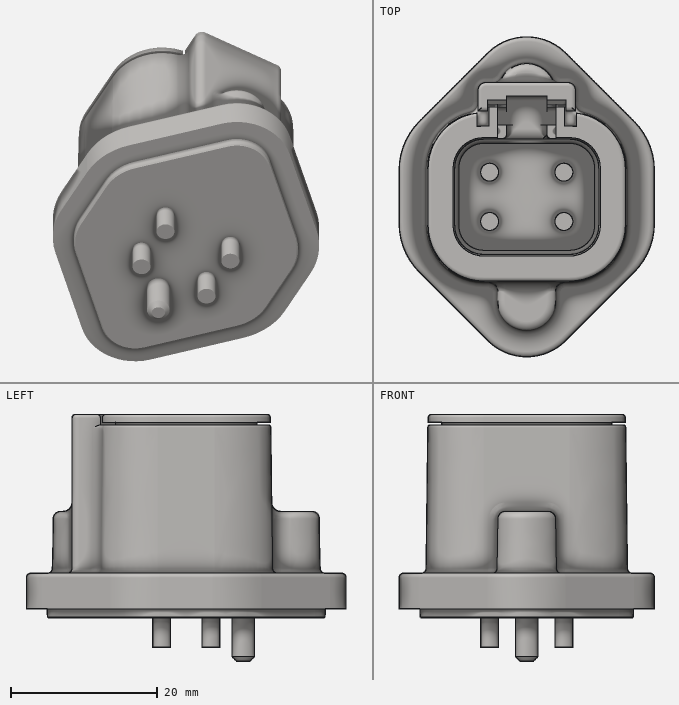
import cadquery as cq
import math

flange_top = 4.9
shoulder_top = 25.1
rim_bottom = 25.45
housing_top = 26.55
boss_top = 13.32
plate_depth = 1.25
pin_depth = 5.25
peg_depth = 7.15

flange_half_x = 17.45
flange_half_y = 21.85
flange_side_radius = 9.5
flange_end_radius = 7.5
flange_edge_fillet = 0.65
plate_inset = 2.85
plate_taper = 2.0
plate_edge_chamfer = 0.17

corner_x = 5.85
corner_y = 3.9
housing_radius = 7.9
housing_taper = 0.7
rim_radius = 7.6
groove_radius = 5.75
cavity_floor = flange_top
cavity_ledge = 8.75
cavity_radius = 3.97
ledge_width = 0.55
ledge_fillet = 0.52
cavity_mouth_radius = 4.2
lead_in_depth = 0.8
lead_in_widening = 0.15
rim_fillet = 0.5
shoulder_fillet = 0.4
base_fillet = 0.6

boss_center_y = 14.25
boss_radius = 4.05
boss_taper = 1.0
boss_fillet = 1.05
join_fillet = 1.2
tower_join_fillet = 1.4

tower_half_x = 6.65
tower_back = 15.6
tower_corner = 1.05
tower_front = 11.7
tower_edge_fillet = 0.52
notch_half_x = 6.75
notch_front = 9.65

pocket_floor = 13.55
pocket_half_x = 3.97
pocket_front = 9.83
pocket_back = 12.27
pocket_foot_fillet = 0.65
slot_half_x = 2.75
slot_back = 13.75
slot_lip_radius = 1.3
slot_lip_end = 9.17
slot_side_fillet = 0.8
rib_top = 24.0
rib_corner_fillet = 0.6
window_half_x = 5.35
window_floor = 19.52
undercut_top = 23.35
tongue_half_x = 5.15
catch_bottom = 24.2
catch_front = 12.55
catch_top_front = 13.25
catch_chamfer_bottom = 25.55

pin_diameter = 2.45
pin_x = 5.05
pin_y = 3.35
pin_top = 10.9
peg_diameter = 3.1
peg_y = -7.78
peg_chamfer = 0.65

selection_margin = 0.05


def box_selector(x_range, y_range, z_range):
    """Selector for edges or vertices whose centres lie within the given ranges."""
    return cq.selectors.BoxSelector(*zip(x_range, y_range, z_range))


def around(value):
    """Narrow selection range around a coordinate."""
    return (value - selection_margin, value + selection_margin)


def inner_edges(body, height):
    """Edges around the inner outlines of the horizontal faces at the given height."""
    faces = [face for face in body.faces("|Z").vals() if abs(face.Center().z - height) < selection_margin]
    return body.newObject([edge for face in faces for wire in face.innerWires() for edge in wire.Edges()])


def centered_block(half_x, y_min, y_max, z_min, z_max):
    """Box symmetric about X = 0, given by its limits."""
    box = cq.Workplane("XY").box(2 * half_x, y_max - y_min, z_max - z_min, centered=(True, False, False))
    return box.translate((0, y_min, z_min))


def rounded_prism(radius, z_min, z_max, taper=0.0):
    """Rounded rectangle around the shared corner centres, extruded upwards."""
    outline = cq.Sketch().rect(2 * (corner_x + radius), 2 * (corner_y + radius)).vertices().fillet(radius)
    return cq.Workplane("XY").workplane(offset=z_min).placeSketch(outline).extrude(z_max - z_min, taper=taper)


def hexagon_outline(inset):
    """Flange hexagon with 45 degree sides and rounded corners, moved inwards by inset."""
    end_radius = flange_end_radius - inset
    half_x = flange_half_x - inset
    end_center_y = flange_half_y - flange_end_radius
    apex_y = end_center_y + end_radius * math.sqrt(2)
    side_y = apex_y - half_x
    points = [
        (0, apex_y),
        (half_x, side_y),
        (half_x, -side_y),
        (0, -apex_y),
        (-half_x, -side_y),
        (-half_x, side_y),
    ]
    end_corners = ">Y or <Y"
    side_corners = ">X or <X"
    sketch = cq.Sketch().polygon(points + points[:1])
    sketch = sketch.vertices(end_corners).fillet(end_radius).reset()
    return sketch.vertices(side_corners).fillet(flange_side_radius - inset)


def make_flange():
    """Mounting flange with a smaller plate below it."""
    flange = cq.Workplane("XY").placeSketch(hexagon_outline(0)).extrude(flange_top)
    flange = flange.faces(">Z").edges().fillet(flange_edge_fillet)
    plate = cq.Workplane("XY").placeSketch(hexagon_outline(plate_inset)).extrude(-plate_depth, taper=plate_taper)
    plate = plate.faces("<Z").chamfer(plate_edge_chamfer)
    return flange.union(plate)


def make_housing():
    """Drafted housing with the latch tower blended into its +Y side."""
    housing = rounded_prism(housing_radius, flange_top, shoulder_top, housing_taper)
    tower = centered_block(tower_half_x, 0, tower_back, flange_top, shoulder_top)
    tower = tower.edges("|Z and >Y").fillet(tower_corner)
    seam_y = (tower_front - 0.45, tower_front + 0.45)
    seam_z = (flange_top + 0.45, shoulder_top - 0.45)
    seams = box_selector(around(-tower_half_x), seam_y, seam_z)
    seams += box_selector(around(tower_half_x), seam_y, seam_z)
    return housing.union(tower).edges(seams).fillet(tower_join_fillet)


def add_bosses(housing):
    """Rounded bosses on both ends, one long slot shape passing through the housing."""
    bosses = (
        cq.Workplane("XY").workplane(offset=flange_top)
        .slot2D(2 * (boss_center_y + boss_radius), 2 * boss_radius, 90)
        .extrude(boss_top - flange_top, taper=boss_taper)
        .faces(">Z").edges().fillet(boss_fillet)
    )
    body = housing.union(bosses)
    housing_end = -corner_y - housing_radius
    seam_x = (-boss_radius, boss_radius)
    seam_z = (flange_top + 0.45, boss_top + 0.45)
    front_seam = box_selector(seam_x, (housing_end - 0.45, housing_end + 0.45), seam_z)
    back_seam = box_selector(seam_x, around(tower_back), seam_z)
    return body.edges(front_seam).fillet(join_fillet).edges(back_seam).fillet(join_fillet)


def make_lower_body():
    """Flange, housing, tower and bosses, all blended together, up to the shoulder."""
    body = make_flange().union(add_bosses(make_housing()))
    body = inner_edges(body, flange_top).fillet(base_fillet)
    reach_x = corner_x + housing_radius
    reach_y = corner_y + housing_radius
    shoulder = box_selector((-reach_x, reach_x), (-reach_y, notch_front), around(shoulder_top))
    return body.faces(">Z").edges(shoulder).fillet(shoulder_fillet)


def make_rim():
    """Rim above the seal groove, cut away where the tower stands."""
    rim = rounded_prism(rim_radius, rim_bottom, housing_top)
    rim = rim.faces(">Z").edges().fillet(rim_fillet)
    neck = rounded_prism(groove_radius, shoulder_top, rim_bottom)
    gap = centered_block(notch_half_x, notch_front, tower_back, shoulder_top, housing_top)
    return rim.union(neck).cut(gap)


def make_tower_top():
    """Upper end of the tower with rounded top edges, and the tongues between its arms."""
    top = centered_block(tower_half_x, tower_front, tower_back, shoulder_top - 0.45, housing_top)
    top = top.edges("|Z and >Y").fillet(tower_corner)
    top = top.faces(">Z").edges().fillet(tower_edge_fillet)
    arm_gap = centered_block(window_half_x, notch_front, pocket_back, shoulder_top, housing_top)
    tongues = centered_block(tongue_half_x, corner_y, pocket_back, shoulder_top, housing_top)
    return top.cut(arm_gap).union(tongues)


def taper_angle(widening, height):
    """Negative extrusion taper that widens an outline by the given amount per side."""
    return -math.degrees(math.atan(widening / height))


def make_cavity():
    """Drafted cavity with a lead-in at its mouth and a rounded ledge around its floor recess."""
    recess_radius = cavity_radius - ledge_width
    recess = rounded_prism(recess_radius, cavity_floor, cavity_ledge)

    lead_in_bottom = housing_top - lead_in_depth
    lead_in_radius = cavity_mouth_radius - lead_in_widening
    wall_taper = taper_angle(lead_in_radius - cavity_radius, lead_in_bottom - cavity_ledge)
    walls = rounded_prism(cavity_radius, cavity_ledge, lead_in_bottom, wall_taper)
    lead_in_taper = taper_angle(lead_in_widening, lead_in_depth)
    lead_in = rounded_prism(lead_in_radius, lead_in_bottom, housing_top, lead_in_taper)

    cavity = recess.union(walls)
    return inner_edges(cavity, cavity_ledge).fillet(ledge_fillet).union(lead_in)


def side_profile(points, half_x):
    """Closed (Y, Z) polygon extruded symmetrically about X = 0."""
    return cq.Workplane("YZ").polyline(points).close().extrude(half_x, both=True)


def make_latch_pocket():
    """Cutters that together hollow out the latch tower."""
    lip_start = slot_lip_end - slot_lip_radius
    lip_mid = slot_lip_radius * math.sqrt(0.5)
    slot = (
        cq.Workplane("YZ")
        .moveTo(lip_start, housing_top)
        .lineTo(lip_start, pocket_floor - slot_lip_radius)
        .threePointArc(
            (slot_lip_end - lip_mid, pocket_floor - slot_lip_radius + lip_mid),
            (slot_lip_end, pocket_floor),
        )
        .lineTo(pocket_front, pocket_floor)
        .lineTo(pocket_front, housing_top)
        .close()
        .extrude(slot_half_x, both=True)
    )
    floor_sides = box_selector(
        (-slot_half_x - 0.45, slot_half_x + 0.45), (slot_lip_end, pocket_front), around(pocket_floor)
    )
    slot = slot.edges(floor_sides).fillet(slot_side_fillet)
    above_ribs = centered_block(pocket_half_x, corner_y, pocket_front, rib_top, housing_top)

    ceiling_front = undercut_top - (slot_back - pocket_front)
    pocket = side_profile(
        [
            (pocket_front, pocket_floor),
            (pocket_front, ceiling_front),
            (slot_back, undercut_top),
            (slot_back, window_floor),
            (pocket_back, window_floor),
            (pocket_back, pocket_floor),
        ],
        window_half_x,
    )
    pocket = pocket.faces("<Z").edges(">Y").fillet(pocket_foot_fillet)

    channel = centered_block(slot_half_x, pocket_front, slot_back, pocket_floor, housing_top)
    channel = channel.edges("<Z and >Y").fillet(pocket_foot_fillet)

    throat = centered_block(pocket_half_x, pocket_front, pocket_back, ceiling_front, housing_top)
    window = centered_block(pocket_half_x, pocket_back, slot_back, window_floor, catch_bottom)

    catches = side_profile(
        [
            (slot_back, housing_top),
            (catch_top_front, housing_top),
            (catch_front, catch_chamfer_bottom),
            (catch_front, catch_bottom),
            (slot_back, catch_bottom),
        ],
        window_half_x,
    )
    opening = centered_block(window_half_x, pocket_back, slot_back, catch_bottom, housing_top).cut(catches)
    return [slot, above_ribs, pocket, channel, throat, window, opening]


def make_pins():
    """Four contact pins through the cavity floor and a chamfered locating peg."""
    pins = (
        cq.Workplane("XY").workplane(offset=-pin_depth)
        .rect(2 * pin_x, 2 * pin_y, forConstruction=True).vertices()
        .circle(pin_diameter / 2).extrude(pin_depth + pin_top)
    )
    peg = (
        cq.Workplane("XY").workplane(offset=-peg_depth)
        .center(0, peg_y).circle(peg_diameter / 2).extrude(peg_depth)
        .faces("<Z").chamfer(peg_chamfer)
    )
    return pins.union(peg)


def round_rib_corners(body):
    """Round the upright rib edges where the slot opens into the cavity."""
    wall_y = corner_y + cavity_radius
    edge_y = (wall_y - 0.45, wall_y + 0.45)
    edge_z = (pocket_floor, rib_top)
    corners = box_selector(around(-slot_half_x), edge_y, edge_z)
    corners += box_selector(around(slot_half_x), edge_y, edge_z)
    return body.edges(corners).fillet(rib_corner_fillet)


body = make_lower_body().union(make_rim()).union(make_tower_top()).cut(make_cavity())
for cutter in make_latch_pocket():
    body = body.cut(cutter)
result = round_rib_corners(body).union(make_pins())